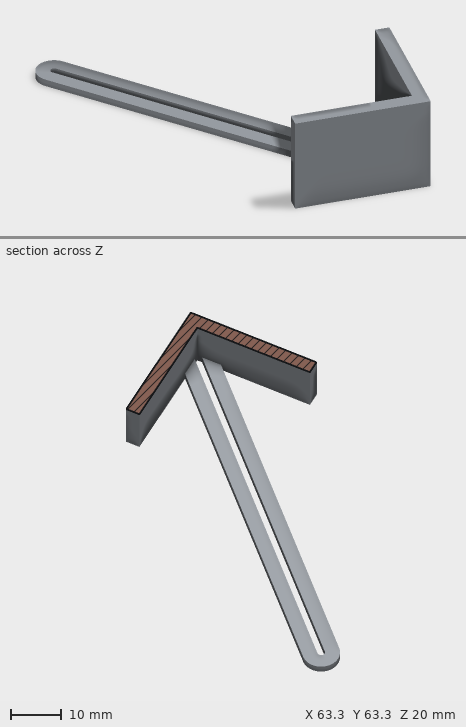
import cadquery as cq
import math

overall_size = 63.3
bracket_height = 20.0
bracket_leg = 28.0
wall_thickness = 3.0
arm_thickness = 1.5
arm_width = 7.5
slot_width = 1.5
arm_angle = 45.0

tip_radius = arm_width / 2
inner_corner = overall_size - wall_thickness
arm_length = (inner_corner - tip_radius) * math.sqrt(2)


def corner_block(size, height):
    """Square block whose +X, +Y corner is the bracket's outer corner."""
    start = overall_size - size
    return cq.Workplane("XY").box(size, size, height, centered=False).translate((start, start, 0))


def diagonal_strip(width):
    """Strip from the rounded tip of the arm to the bracket's inner corner."""
    radius = width / 2
    return (
        cq.Workplane("XY")
        .moveTo(0, radius)
        .lineTo(arm_length, radius)
        .lineTo(arm_length, -radius)
        .lineTo(0, -radius)
        .threePointArc((-radius, 0), (0, radius))
        .close()
        .extrude(arm_thickness)
        .rotate((0, 0, 0), (0, 0, 1), arm_angle)
        .translate((tip_radius, tip_radius, 0))
    )


inner_space = cq.Workplane("XY").box(
    inner_corner, inner_corner, bracket_height, centered=False
)
bracket = corner_block(bracket_leg, bracket_height).cut(inner_space)

arm = diagonal_strip(arm_width).cut(diagonal_strip(slot_width))

result = bracket.union(arm)